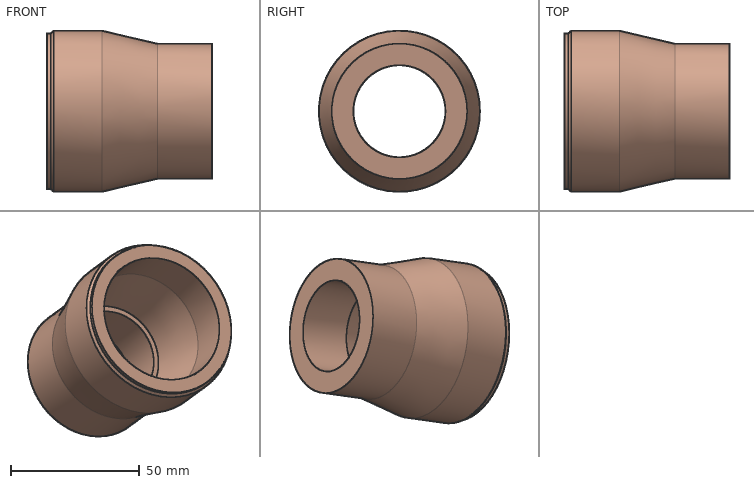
import cadquery as cq

total_length = 64.5
section_length = total_length / 3
cone_start = section_length
cone_end = 2 * section_length
land_length = 1.55
chamfer_end = 2.65
cone_bore_start = 18.95

large_radius = 63.0 / 2
land_radius = 30.45
small_radius = 26.45

large_bore_radius = 25.15
cone_bore_end_radius = 20.0
small_bore_radius = 17.9

outer_profile = [
    (0, land_radius),
    (land_length, land_radius),
    (chamfer_end, large_radius),
    (cone_start, large_radius),
    (cone_end, small_radius),
    (total_length, small_radius),
]

bore_profile = [
    (total_length, small_bore_radius),
    (cone_end, small_bore_radius),
    (cone_end, cone_bore_end_radius),
    (cone_bore_start, large_bore_radius),
    (0, large_bore_radius),
]

half_section = cq.Workplane("XY").polyline(outer_profile + bore_profile).close()
result = half_section.revolve(360, (0, 0, 0), (1, 0, 0))